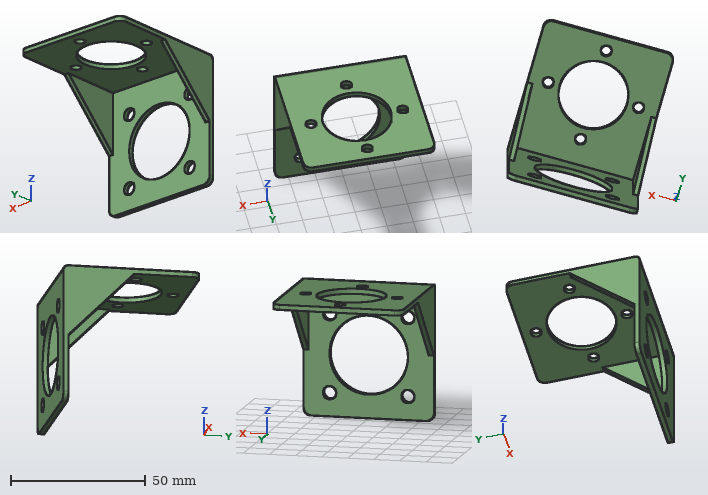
import cadquery as cq

width = 50.0
leg = 52.0
thickness = 2.0
bend_radius = 2.0
corner_radius = 3.0

gusset_leg = 25.0
gusset_thickness = thickness

front_center_drop = 28.0
front_bore = 30.0
front_screw = 5.0
front_screw_spacing = 30.0

top_center_setback = 29.0
top_bore = 26.0
top_screw = 4.0
top_screw_circle = 35.0


def make_plates():
    """L-shaped plates with a rounded bend and rounded free corners."""
    top = cq.Workplane("XY").box(width, leg, thickness, centered=(True, False, False))
    top = top.translate((0, 0, -thickness)).edges("|Z and >Y").fillet(corner_radius)
    front = cq.Workplane("XY").box(width, thickness, leg, centered=(True, False, False))
    front = front.translate((0, 0, -leg)).edges("|Y and <Z").fillet(corner_radius)
    return top.union(front)


def make_gusset(x_start):
    """Triangular web in the inner corner, growing toward +X from x_start."""
    tip = thickness + gusset_leg
    return (
        cq.Workplane("YZ", origin=(x_start, 0, 0))
        .polyline([(0, 0), (thickness, 0), (tip, -thickness), (thickness, -tip), (0, -tip)])
        .close()
        .extrude(gusset_thickness)
    )


def cut_front_holes(body):
    plane = cq.Workplane("XZ", origin=(0, 0, -front_center_drop))
    bore = plane.circle(front_bore / 2).extrude(-thickness)
    screws = (
        plane.rect(front_screw_spacing, front_screw_spacing, forConstruction=True)
        .vertices()
        .circle(front_screw / 2)
        .extrude(-thickness)
    )
    return body.cut(bore).cut(screws)


def cut_top_holes(body):
    plane = cq.Workplane("XY", origin=(0, top_center_setback, 0))
    bore = plane.circle(top_bore / 2).extrude(-thickness)
    screws = (
        plane.polarArray(top_screw_circle / 2, 0, 360, 4)
        .circle(top_screw / 2)
        .extrude(-thickness)
    )
    return body.cut(bore).cut(screws)


bracket = make_plates()
for gusset_start in (-width / 2, width / 2 - gusset_thickness):
    bracket = bracket.union(make_gusset(gusset_start))
bend_edge = cq.selectors.NearestToPointSelector((0, 0, 0))
bracket = bracket.clean().edges(bend_edge).fillet(bend_radius)
result = cut_top_holes(cut_front_holes(bracket))